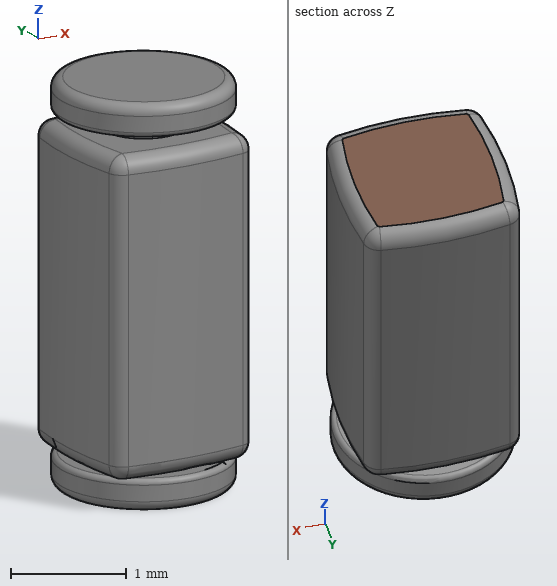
import cadquery as cq

total_height = 3.7
neck_height = 0.15

flange_diameter = 1.6
flange_thickness = 0.3
flange_outer_fillet = 0.1
flange_inner_fillet = 0.05

neck_diameter = 0.72
neck_fillet = 0.05

body_width = 1.5
body_corner_half = 0.68
body_fillet = 0.15

body_bottom = flange_thickness
upper_flange_bottom = total_height - flange_thickness
body_top = upper_flange_bottom - neck_height
body_height = body_top - body_bottom


def make_body():
    """Square block with four convex sides and every edge rounded."""
    half = body_width / 2
    corner = body_corner_half
    return (
        cq.Workplane("XY")
        .workplane(offset=body_bottom)
        .moveTo(-corner, -corner)
        .threePointArc((0, -half), (corner, -corner))
        .threePointArc((half, 0), (corner, corner))
        .threePointArc((0, half), (-corner, corner))
        .threePointArc((-half, 0), (-corner, -corner))
        .close()
        .extrude(body_height)
        .edges()
        .fillet(body_fillet)
    )


def make_lower_flange():
    """Disc with a large outer rounding and a small rounding towards the body."""
    return (
        cq.Workplane("XY")
        .circle(flange_diameter / 2)
        .extrude(flange_thickness)
        .faces("<Z")
        .edges()
        .fillet(flange_outer_fillet)
        .faces(">Z")
        .edges()
        .fillet(flange_inner_fillet)
    )


def make_upper_flange():
    """Mirror image of the lower flange at the top end."""
    return make_lower_flange().mirror("XY").translate((0, 0, total_height))


def make_neck():
    """Round neck that flares with a concave rounding under the upper flange."""
    radius = neck_diameter / 2
    return (
        cq.Workplane("XZ")
        .moveTo(0, body_top)
        .lineTo(radius, body_top)
        .lineTo(radius, upper_flange_bottom - neck_fillet)
        .radiusArc((radius + neck_fillet, upper_flange_bottom), neck_fillet)
        .lineTo(0, upper_flange_bottom)
        .close()
        .revolve(360, (0, 0, 0), (0, 1, 0))
    )


result = make_body().union(make_lower_flange()).union(make_neck()).union(make_upper_flange())